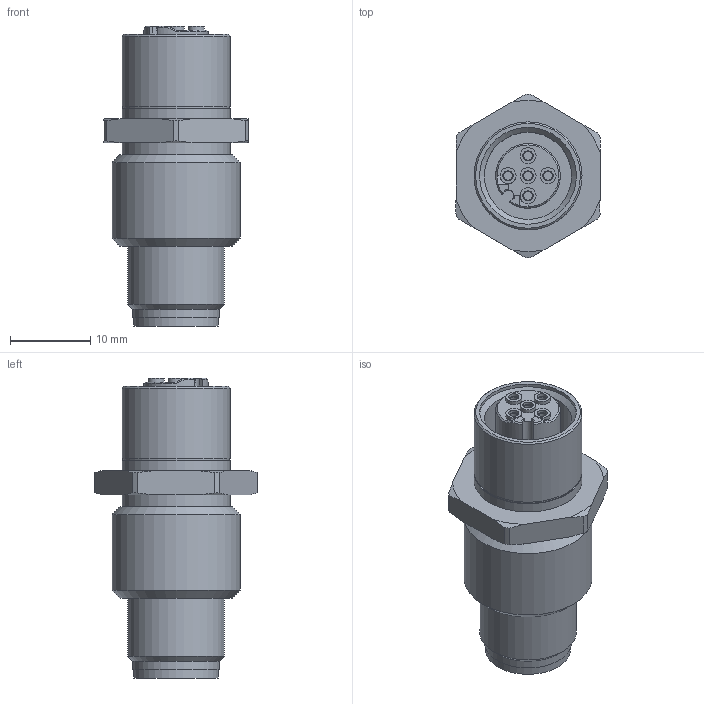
import cadquery as cq
import math

BODY_R = 6.75
COLLAR_R = 8.0
TAIL_R = 6.05
NECK_R = 5.4
END_R = 5.28
NECK_BOTTOM = 1.05
NECK_TOP = 2.1
COLLAR_BOTTOM = 10.0
COLLAR_TOP = 21.4
COLLAR_CHAMFER = 1.0
RIM_Z = 36.45
RIM_CHAMFER = 0.2
GROOVE_BOTTOM = 27.15
GROOVE_WIDTH = 0.25
GROOVE_DEPTH = 0.1

NUT_BOTTOM = 22.9
NUT_HEIGHT = 3.0
NUT_FLATS = 18.0
NUT_CORNER_R = 10.2
NUT_FACE_R = 9.45
NUT_BEVEL_HEIGHT = 0.23

MOUTH_R = 6.05
SOCKET_R = 5.45
MOUTH_DEPTH = 0.45
SOCKET_DEPTH = 8.0

INSERT_R = 4.04
INSERT_TOP = 37.0
EDGE_CHAMFER = 0.18
SLEEVE_R = 1.0
SLEEVE_TOP = 37.5
CONTACT_PITCH = 2.5
ENTRY_R = 0.64
ENTRY_DEPTH = 0.4
BORE_R = 0.54
BORE_DEPTH = 5.0

KEYWAY_R = 0.65
KEYWAY_FLARE = 0.12
FLARE_TAPER = -45
KEYWAY_CENTRE = 3.45
KEYWAY_ANGLE = 225
RAMP_LENGTH = 1.03
RAMP_INNER = 2.4

SOCKET_FLOOR = RIM_Z - SOCKET_DEPTH


def cylinder(radius, bottom, top, x=0, y=0):
    return cq.Workplane("XY", origin=(x, y, bottom)).circle(radius).extrude(top - bottom)


def revolved(points):
    """Turn an (r, z) outline about the Z axis."""
    return cq.Workplane("XZ").polyline(points).close().revolve(360, (0, 0), (0, 1))


def make_housing():
    collar_edge_r = COLLAR_R - COLLAR_CHAMFER
    groove_r = BODY_R - GROOVE_DEPTH
    groove_top = GROOVE_BOTTOM + GROOVE_WIDTH
    cone_top = RIM_Z - MOUTH_DEPTH
    return revolved([
        (0, 0),
        (END_R, 0),
        (END_R, NECK_BOTTOM),
        (NECK_R, NECK_BOTTOM),
        (NECK_R, NECK_TOP),
        (TAIL_R, NECK_TOP + TAIL_R - NECK_R),
        (TAIL_R, COLLAR_BOTTOM),
        (collar_edge_r, COLLAR_BOTTOM),
        (COLLAR_R, COLLAR_BOTTOM + COLLAR_CHAMFER),
        (COLLAR_R, COLLAR_TOP - COLLAR_CHAMFER),
        (collar_edge_r, COLLAR_TOP),
        (BODY_R, COLLAR_TOP),
        (BODY_R, GROOVE_BOTTOM),
        (groove_r, GROOVE_BOTTOM),
        (groove_r, groove_top),
        (BODY_R, groove_top),
        (BODY_R, RIM_Z - RIM_CHAMFER),
        (BODY_R - RIM_CHAMFER, RIM_Z),
        (MOUTH_R, RIM_Z),
        (MOUTH_R, cone_top),
        (SOCKET_R, cone_top - (MOUTH_R - SOCKET_R)),
        (SOCKET_R, SOCKET_FLOOR),
        (0, SOCKET_FLOOR),
    ])


def make_nut():
    top = NUT_BOTTOM + NUT_HEIGHT
    hexagon = (
        cq.Workplane("XY", origin=(0, 0, NUT_BOTTOM))
        .transformed(rotate=(0, 0, 90))
        .polygon(6, NUT_FLATS / math.cos(math.pi / 6))
        .extrude(NUT_HEIGHT)
    )
    bevelled_disc = revolved([
        (0, NUT_BOTTOM),
        (NUT_FACE_R, NUT_BOTTOM),
        (NUT_CORNER_R, NUT_BOTTOM + NUT_BEVEL_HEIGHT),
        (NUT_CORNER_R, top - NUT_BEVEL_HEIGHT),
        (NUT_FACE_R, top),
        (0, top),
    ])
    return hexagon.intersect(bevelled_disc)


def make_rim_block(start, start_top, end):
    """Block on the -X rim between two y levels, its top rising to the sleeve level."""
    profile = [
        (start, SOCKET_FLOOR),
        (start, start_top),
        (end, SLEEVE_TOP),
        (end, SOCKET_FLOOR),
    ]
    block = (
        cq.Workplane("YZ", origin=(-INSERT_R, 0, 0))
        .polyline(profile).close()
        .extrude(INSERT_R - RAMP_INNER)
    )
    block = block.intersect(cylinder(INSERT_R, SOCKET_FLOOR, SLEEVE_TOP))
    return block.edges("not %LINE").edges(">Z").chamfer(EDGE_CHAMFER)


def make_ramp():
    """Slope that starts at y = 0, then a level stretch up to the keyway."""
    slope = make_rim_block(0, INSERT_TOP, -RAMP_LENGTH)
    plateau = make_rim_block(-RAMP_LENGTH, SLEEVE_TOP, -INSERT_R)
    return slope.union(plateau)


def keyway_prism(bottom, height, taper=0):
    """U-shaped slot opening outward along +X."""
    open_end = KEYWAY_CENTRE + INSERT_R
    return (
        cq.Workplane("XY", origin=(0, 0, bottom))
        .moveTo(KEYWAY_CENTRE, KEYWAY_R)
        .threePointArc((KEYWAY_CENTRE - KEYWAY_R, 0), (KEYWAY_CENTRE, -KEYWAY_R))
        .lineTo(open_end, -KEYWAY_R)
        .lineTo(open_end, KEYWAY_R)
        .close()
        .extrude(height, taper=taper)
    )


def make_keyway():
    slot = keyway_prism(SOCKET_FLOOR, SLEEVE_TOP - SOCKET_FLOOR)
    flare = keyway_prism(SLEEVE_TOP - KEYWAY_FLARE, KEYWAY_FLARE, FLARE_TAPER)
    return slot.union(flare).rotate((0, 0, 0), (0, 0, 1), KEYWAY_ANGLE)


def make_insert():
    insert = cylinder(INSERT_R, SOCKET_FLOOR, INSERT_TOP).faces(">Z").chamfer(EDGE_CHAMFER)
    ramp = make_ramp()
    insert = insert.union(ramp)
    keyway_axis_normal = (1, -1, 0)
    insert = insert.union(cq.Workplane(ramp.val().mirror(keyway_axis_normal)))
    insert = insert.cut(make_keyway())
    contacts = [(0, 0)]
    for sign in (-1, 1):
        contacts.append((sign * CONTACT_PITCH, 0))
        contacts.append((0, sign * CONTACT_PITCH))
    for x, y in contacts:
        insert = insert.union(cylinder(SLEEVE_R, SOCKET_FLOOR, SLEEVE_TOP, x, y))
    for x, y in contacts:
        insert = insert.cut(cylinder(ENTRY_R, SLEEVE_TOP - ENTRY_DEPTH, SLEEVE_TOP, x, y))
        insert = insert.cut(cylinder(BORE_R, SLEEVE_TOP - BORE_DEPTH, SLEEVE_TOP, x, y))
    return insert


result = make_housing().union(make_nut()).union(make_insert())